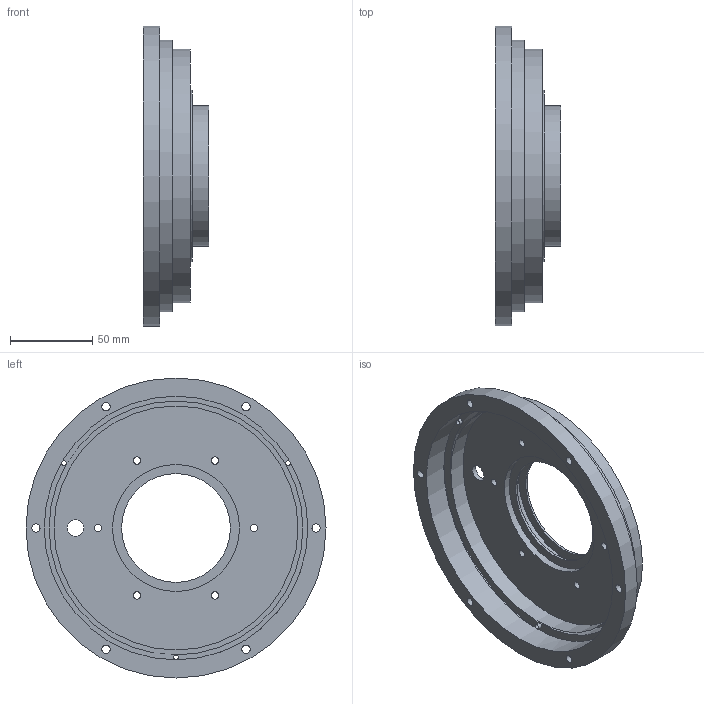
import cadquery as cq


flange_end, flange_radius = 10.0, 91.0
shoulder_end, shoulder_radius = 17.5, 82.5
body_end, body_radius = 28.5, 77.0
pad_end, pad_radius = 29.5, 52.0
hub_end, hub_radius = 39.5, 42.5

ledge_depth, mouth_radius = 15.0, 80.0
floor_depth, cavity_radius = 25.5, 74.0

counterbore_depth, counterbore_radius = 29.7, 38.5
bore_radius = 33.0
groove_radius = 39.0
front_lip_thickness = 1.5
groove_width = 7.0

flange_hole_count, flange_hole_circle, flange_hole_diameter = 6, 85.0, 5.0
floor_hole_count, floor_hole_circle, floor_hole_diameter = 6, 47.25, 4.5

ledge_hole_count = 3
ledge_hole_start_angle = 30.0
ledge_hole_circle = (mouth_radius + body_radius) / 2
ledge_hole_diameter = mouth_radius - body_radius

port_offset, port_diameter = 61.0, 10.0


def disc(start, end, radius):
    """Solid cylinder on the X axis between two axial positions."""
    return cq.Workplane("YZ", origin=(start, 0, 0)).circle(radius).extrude(end - start)


def hole_ring(count, circle_radius, diameter, start_angle=0.0):
    """Through-hole cutters evenly spaced about the X axis, angles from +Y toward +Z."""
    return (
        cq.Workplane("YZ")
        .polarArray(circle_radius, start_angle, 360, count)
        .circle(diameter / 2)
        .extrude(hub_end)
    )


def outer_body():
    return (
        disc(0, flange_end, flange_radius)
        .union(disc(0, shoulder_end, shoulder_radius))
        .union(disc(0, body_end, body_radius))
        .union(disc(0, pad_end, pad_radius))
        .union(disc(0, hub_end, hub_radius))
    )


def cut_cavity(part):
    mouth = disc(0, ledge_depth, mouth_radius)
    cavity = disc(0, floor_depth, cavity_radius)
    return part.cut(mouth).cut(cavity)


def cut_bore(part):
    groove_start = counterbore_depth + front_lip_thickness
    counterbore = disc(0, counterbore_depth, counterbore_radius)
    bore = disc(0, hub_end, bore_radius)
    groove = disc(groove_start, groove_start + groove_width, groove_radius)
    return part.cut(counterbore).cut(bore).cut(groove)


def cut_holes(part):
    flange_holes = hole_ring(flange_hole_count, flange_hole_circle, flange_hole_diameter)
    floor_holes = hole_ring(floor_hole_count, floor_hole_circle, floor_hole_diameter)
    ledge_holes = hole_ring(ledge_hole_count, ledge_hole_circle, ledge_hole_diameter, ledge_hole_start_angle)
    port = hole_ring(1, port_offset, port_diameter)
    return part.cut(flange_holes).cut(floor_holes).cut(ledge_holes).cut(port)


result = cut_holes(cut_bore(cut_cavity(outer_body())))